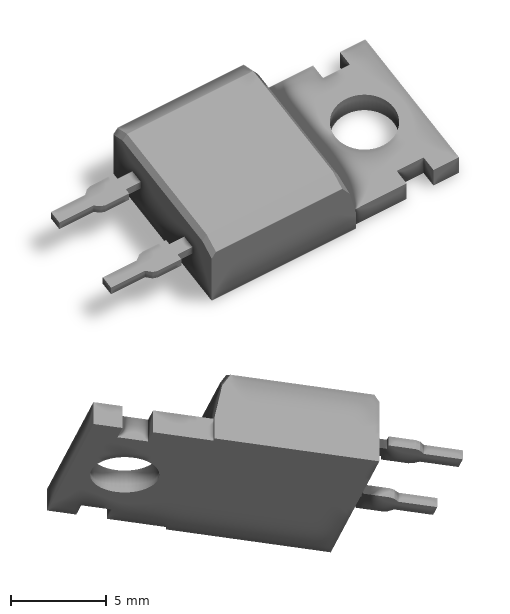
import cadquery as cq

body_width = 9.65
body_length = 8.9
body_height = 4.5
total_length = 20.43

side_bevel_width = 0.92
side_bevel_drop = 0.5
front_bevel_length = 0.27
front_bevel_drop = 0.39
rear_bevel_length = 0.85
rear_bevel_slope = 1.6
rear_bevel_drop = rear_bevel_length * rear_bevel_slope
rear_wall_lean = 0.65

tab_width = 9.17
tab_length = 6.5
tab_thickness = 1.33
hole_diameter = 3.62
hole_to_tab_end = 2.95
notch_depth = 0.98
notch_length = 1.65
notch_to_tab_end = 1.57

lead_length = total_length - body_length - tab_length
lead_offset = 2.53
lead_width = 0.82
lead_bottom = 1.98
lead_thickness = 0.55
pad_offset = 2.55
pad_width = 1.5
pad_start = 0.92
pad_straight_length = 1.47
pad_taper_length = 0.53
shoulder_knee_length = 0.25
shoulder_knee_inset = 0.08

tab_end = body_length + tab_length


def body_section(y, drop):
    """Body cross-section at the given Y, with its roof lowered by drop."""
    half_width = body_width / 2
    roof_half_width = half_width - side_bevel_width
    roof = body_height - drop
    shoulder = roof - side_bevel_drop
    return cq.Wire.makePolygon(
        [
            cq.Vector(-half_width, y, 0),
            cq.Vector(half_width, y, 0),
            cq.Vector(half_width, y, shoulder),
            cq.Vector(roof_half_width, y, roof),
            cq.Vector(-roof_half_width, y, roof),
            cq.Vector(-half_width, y, shoulder),
        ],
        close=True,
    )


def make_body():
    """Molded body with bevelled roof edges and a leaning rear wall."""
    sections = [
        body_section(0, front_bevel_drop),
        body_section(front_bevel_length, 0),
        body_section(body_length - rear_bevel_length, 0),
        body_section(body_length, rear_bevel_drop),
    ]
    body = cq.Workplane("XY")
    for front, rear in zip(sections, sections[1:]):
        body = body.union(cq.Workplane(cq.Solid.makeLoft([front, rear], True)))
    rear_wedge = (
        cq.Workplane("YZ")
        .moveTo(body_length, tab_thickness)
        .lineTo(body_length, body_height)
        .lineTo(body_length - rear_wall_lean, body_height)
        .close()
        .extrude(body_width / 2, both=True)
    )
    return body.cut(rear_wedge)


def make_tab():
    """Flat tab with a mounting hole and a notch in each side edge."""
    tab = cq.Workplane("XY").box(tab_width, tab_length, tab_thickness, centered=(True, False, False))
    tab = tab.translate((0, body_length, 0))
    hole = (
        cq.Workplane("XY")
        .center(0, tab_end - hole_to_tab_end)
        .circle(hole_diameter / 2)
        .extrude(tab_thickness)
    )
    notch_center = tab_end - notch_to_tab_end - notch_length / 2
    notches = (
        cq.Workplane("XY")
        .pushPoints([(-tab_width / 2, notch_center), (tab_width / 2, notch_center)])
        .rect(2 * notch_depth, notch_length)
        .extrude(tab_thickness)
    )
    return tab.cut(hole).cut(notches)


def make_lead(side):
    """Flat lead with a widened, taper-shouldered pad; side is -1 or 1."""
    left = side * lead_offset - lead_width / 2
    right = left + lead_width
    pad_left = side * pad_offset - pad_width / 2
    pad_right = pad_left + pad_width
    pad_straight_end = pad_start + pad_straight_length
    pad_end = pad_straight_end + pad_taper_length
    strip = (
        cq.Workplane("XY", origin=(0, 0, lead_bottom))
        .moveTo(left, 0)
        .lineTo(left, -lead_length)
        .lineTo(right, -lead_length)
        .lineTo(right, 0)
        .close()
        .extrude(lead_thickness)
    )
    knee_y = -pad_straight_end - shoulder_knee_length
    pad = (
        cq.Workplane("XY", origin=(0, 0, lead_bottom))
        .moveTo(pad_left, -pad_start)
        .lineTo(pad_left, -pad_straight_end)
        .lineTo(pad_left + shoulder_knee_inset, knee_y)
        .lineTo(left, -pad_end)
        .lineTo(right, -pad_end)
        .lineTo(pad_right - shoulder_knee_inset, knee_y)
        .lineTo(pad_right, -pad_straight_end)
        .lineTo(pad_right, -pad_start)
        .close()
        .extrude(lead_thickness)
    )
    return strip.union(pad)


result = make_body().union(make_tab())
for side in (-1, 1):
    result = result.union(make_lead(side))